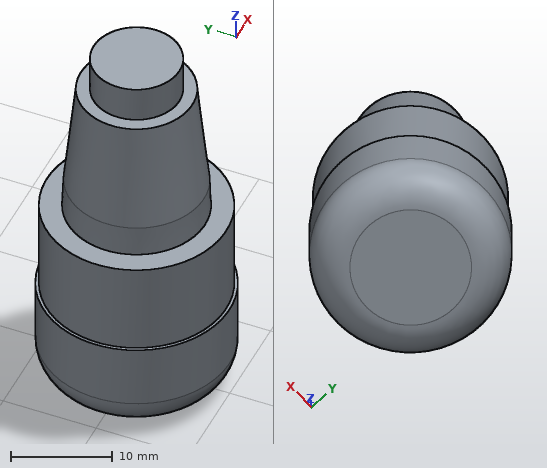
import cadquery as cq

total_height = 40.8
cap_height = 11.05
cap_edge_radius = 4.0
shoulder_top = 21.38
collar_top = 24.8
taper_top = 36.8

cap_diameter = 20.0
shoulder_diameter = 19.3
collar_bottom_diameter = 14.73
collar_top_diameter = 14.45
taper_top_diameter = 12.0
tip_diameter = 9.22


def make_cap():
    """Solid round cap with a rounded bottom edge."""
    cap = cq.Workplane("XY").circle(cap_diameter / 2).extrude(cap_height)
    return cap.faces("<Z").edges().fillet(cap_edge_radius)


def make_stem():
    """Stepped stem with a slightly drafted collar and a taper that stands on the cap, revolved about Z."""
    profile = (
        cq.Workplane("XZ")
        .moveTo(0, cap_height)
        .lineTo(shoulder_diameter / 2, cap_height)
        .lineTo(shoulder_diameter / 2, shoulder_top)
        .lineTo(collar_bottom_diameter / 2, shoulder_top)
        .lineTo(collar_top_diameter / 2, collar_top)
        .lineTo(taper_top_diameter / 2, taper_top)
        .lineTo(tip_diameter / 2, taper_top)
        .lineTo(tip_diameter / 2, total_height)
        .lineTo(0, total_height)
        .close()
    )
    return profile.revolve(360, (0, 0, 0), (0, 1, 0))


cap = make_cap()
stem = make_stem()

result = cq.Compound.makeCompound([cap.val(), stem.val()])